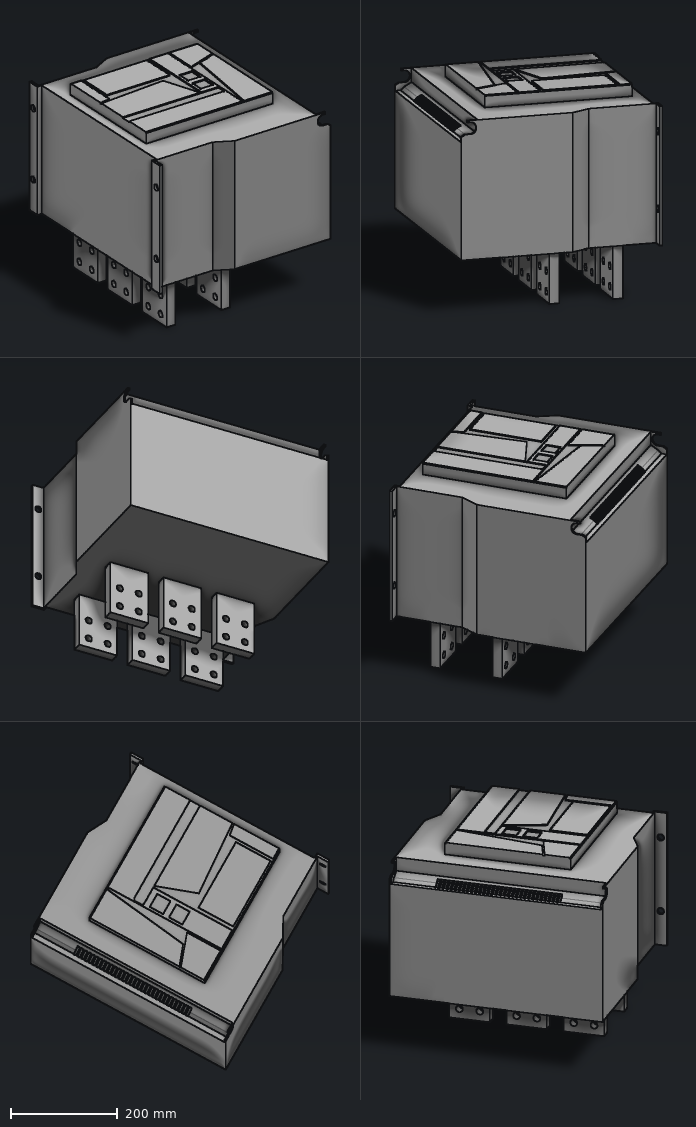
import cadquery as cq
import math


def rise(run, angle):
    """Height gained over a horizontal run at the given slope."""
    return run * math.tan(angle)


overall_width = 426.0
overall_depth = 394.0
housing_height = 270.0
rear_half_width = 209.5
front_half_width = 190.0
front_face_y = 10.2
taper_front_y = 137.0
taper_rear_y = 174.5
sheet = 3.5

flange_thickness = 5.0
flange_hole_diameter = 12.8
flange_hole_edge_distance = 12.0
flange_hole_top_distance = 51.0
flange_hole_spacing = 150.0

front_slope_angle = math.radians(30)
rear_slope_angle = math.radians(41)
vent_bend_y = 376.0
vent_wall_y = 362.0
ledge_front_y = 383.5
ledge_depth = 41.7
ledge_z = housing_height - ledge_depth
vent_bend_z = ledge_z + rise(ledge_front_y - vent_bend_y, rear_slope_angle)
slot_count = 31
slot_row_span = 240.3
slot_pitch = slot_row_span / (slot_count - 1)
slot_width = 5.0
slot_end_y = 368.5
slot_depth = 4.3

notch_radius = 11.5
notch_center_y = 376.0
lip_height = 4.0
lip_end_y = 382.0
notch_chamfer_angle = math.radians(30)
notch_chamfer_y = 387.0

panel_width = 248.0
panel_front_y = 31.5
panel_rear_y = 321.0
panel_base_height = 22.0
plate_height = 2.0
plate_side_inset = 1.5

bar_width = 80.0
bar_thickness = 20.0
bar_length = 112.5
bar_pitch = 112.5
bar_row_centers_y = (68.0, 193.5)
bar_hole_diameter = 13.0
bar_hole_spacing = 40.0
bar_hole_end_distance = 20.0


def box_between(x0, x1, y0, y1, z0, z1):
    """Axis-aligned box given by its two limits along each axis."""
    return cq.Workplane("XY").box(x1 - x0, y1 - y0, z1 - z0, centered=False).translate((x0, y0, z0))


def make_housing():
    """Housing that narrows toward the front, with both side sheets bent out into flanges."""
    half_width = overall_width / 2
    inner_half_width = front_half_width - sheet
    right_half = [
        (inner_half_width, front_face_y),
        (inner_half_width, 0),
        (half_width, 0),
        (half_width, flange_thickness),
        (front_half_width, flange_thickness),
        (front_half_width, taper_front_y),
        (rear_half_width, taper_rear_y),
        (rear_half_width, overall_depth),
    ]
    left_half = [(-x, y) for x, y in reversed(right_half)]
    return cq.Workplane("XY").polyline(right_half + left_half).close().extrude(housing_height)


def make_flange_holes():
    """Two holes through each flange."""
    hole_x = overall_width / 2 - flange_hole_edge_distance
    upper_z = housing_height - flange_hole_top_distance
    points = [(x, z) for x in (-hole_x, hole_x) for z in (upper_z, upper_z - flange_hole_spacing)]
    return (
        cq.Workplane("XZ").pushPoints(points).circle(flange_hole_diameter / 2).extrude(-flange_thickness)
    )


def make_vent_step():
    """Space cleared above the two vent slopes and the ledge behind them."""
    slope_top_z = vent_bend_z + rise(vent_bend_y - vent_wall_y, front_slope_angle)
    inner_half_width = rear_half_width - sheet
    profile = [
        (vent_wall_y, housing_height),
        (vent_wall_y, slope_top_z),
        (vent_bend_y, vent_bend_z),
        (ledge_front_y, ledge_z),
        (overall_depth, ledge_z),
        (overall_depth, housing_height),
    ]
    return cq.Workplane("YZ").polyline(profile).close().extrude(inner_half_width, both=True)


def make_vent_slots():
    """Row of slots sunk to an even depth below both slopes, ending at the ledge."""
    slot_end_z = vent_bend_z + rise(vent_bend_y - slot_end_y, front_slope_angle)
    profile = [
        (ledge_front_y, ledge_z),
        (vent_bend_y, vent_bend_z),
        (slot_end_y, slot_end_z),
        (slot_end_y, slot_end_z - slot_depth),
        (vent_bend_y, vent_bend_z - slot_depth),
        (ledge_front_y, ledge_z - slot_depth),
    ]
    slot = cq.Workplane("YZ").polyline(profile).close().extrude(slot_width / 2, both=True)
    first_x = -slot_row_span / 2
    slots = cq.Workplane("XY")
    for index in range(slot_count):
        slots = slots.add(slot.translate((first_x + index * slot_pitch, 0, 0)))
    return slots.combine()


def make_side_notches():
    """Hook-shaped notch cut through both side sheets."""
    lip_z = housing_height - lip_height
    center_z = lip_z - notch_radius
    floor_z = center_z - notch_radius
    rear_z = floor_z - rise(overall_depth - notch_chamfer_y, notch_chamfer_angle)
    return (
        cq.Workplane("YZ")
        .moveTo(lip_end_y, housing_height)
        .lineTo(lip_end_y, lip_z)
        .lineTo(notch_center_y, lip_z)
        .threePointArc((notch_center_y - notch_radius, center_z), (notch_center_y, floor_z))
        .lineTo(notch_chamfer_y, floor_z)
        .lineTo(overall_depth, rear_z)
        .lineTo(overall_depth, housing_height)
        .close()
        .extrude(rear_half_width, both=True)
    )


def make_plate(points):
    """Raised panel plate with the given outline."""
    base_top = housing_height + panel_base_height
    return cq.Workplane("XY").workplane(offset=base_top).polyline(points).close().extrude(plate_height)


def make_panel():
    """Panel base with its raised plates; the gaps between the plates stay at base level."""
    left = -panel_width / 2 + plate_side_inset
    right = -left
    front = panel_front_y
    rear = panel_rear_y
    base_top = housing_height + panel_base_height

    panel = box_between(-panel_width / 2, panel_width / 2, front, rear, housing_height, base_top)

    name_plate_front = 256.5
    name_plate = [(left, rear), (-73.0, rear), (-50.0, name_plate_front), (left, name_plate_front)]
    rear_plate_corner = (-54.5, 280.0)
    rear_plate_front = 257.0
    rear_plate = [(-69.5, rear), rear_plate_corner, (right, rear_plate_front), (right, rear)]

    band_rear = 253.0
    band_front = 211.7
    channel_left = 47.3
    channel_right = 68.5
    channel_rear = 251.5
    channel_corner_radius = 4.3
    band = make_plate(
        [
            (left, band_rear),
            (right, band_rear),
            (right, front),
            (channel_left, front),
            (channel_left, band_front),
            (left, band_front),
        ]
    )
    channel = (
        box_between(channel_left, channel_right, front, channel_rear, base_top, base_top + plate_height)
        .edges("|Z and >Y")
        .fillet(channel_corner_radius)
    )
    window_size = 28.5
    window_spacing = 41.5
    window_center_y = 233.5
    windows = (
        cq.Workplane("XY")
        .workplane(offset=base_top)
        .center(0, window_center_y)
        .rarray(window_spacing, 4.3, 2, 1)
        .rect(window_size, window_size)
        .extrude(plate_height)
    )

    control_corner = (-33.0, 180.0)
    control_rear = 208.5
    control_plate = [control_corner, (channel_left, control_rear), (channel_left, front), (-22.0, front)]
    display_left, display_right = -120.0, -45.5
    display_front, display_rear = 60.0, 204.5
    display_plate = [
        (display_left, display_front),
        (display_right, display_front),
        (display_right, display_rear),
        (display_left, display_rear),
    ]
    foot_plate_rear = 54.5
    foot_plate = [(left, front), (left, foot_plate_rear), (-29.0, foot_plate_rear), (-25.5, front)]

    panel = panel.union(band.cut(channel).cut(windows))
    for outline in (name_plate, rear_plate, control_plate, display_plate, foot_plate):
        panel = panel.union(make_plate(outline))
    return panel


def make_terminal_bars():
    """Two rows of three bars, each with a square group of four holes."""
    hole_group_z = -bar_length / 2 + bar_hole_end_distance + bar_hole_spacing / 2
    bar = (
        cq.Workplane("XY")
        .box(bar_width, bar_thickness, bar_length)
        .faces("<Y")
        .workplane(origin=(0, 0, hole_group_z))
        .rarray(bar_hole_spacing, bar_hole_spacing, 2, 2)
        .hole(bar_hole_diameter)
    )
    bars = cq.Workplane("XY")
    for row_y in bar_row_centers_y:
        for column in (-1, 0, 1):
            bars = bars.add(bar.translate((column * bar_pitch, row_y, -bar_length / 2)))
    return bars.combine()


housing = make_housing().cut(make_flange_holes())
housing = housing.cut(make_vent_step()).cut(make_vent_slots()).cut(make_side_notches())
result = housing.union(make_panel()).union(make_terminal_bars())